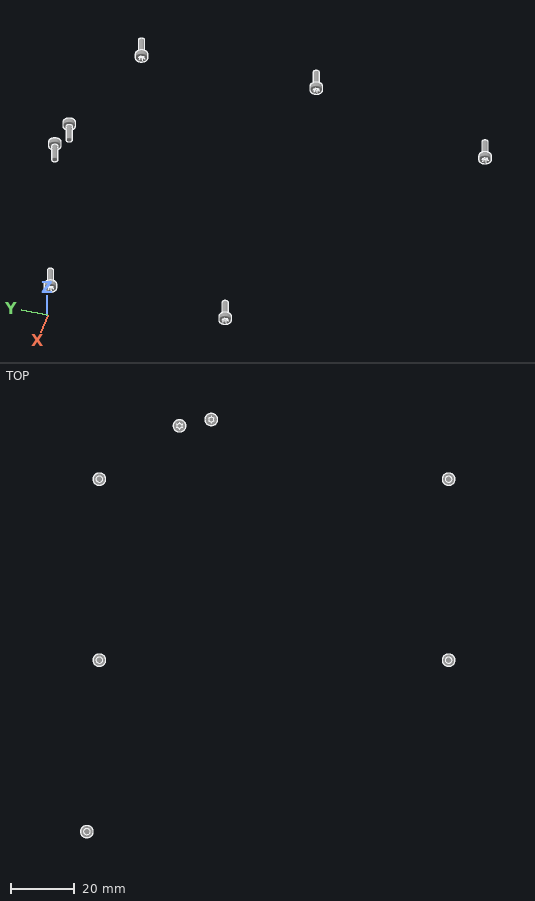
import cadquery as cq
import math

SHANK_DIAMETER = 2.0
SHANK_LENGTH = 6.0
HEAD_DIAMETER = 4.0
HEAD_HEIGHT = 2.0

EDGE_FILLET = 0.25

SOCKET_ACROSS_FLATS = 1.5
SOCKET_DEPTH = 1.0
SOCKET_TURN = 90.0
SOCKET_ACROSS_CORNERS = SOCKET_ACROSS_FLATS / math.cos(math.radians(30))

FRAME_LENGTH = 110.0
FRAME_WIDTH = 57.0
FRAME_SHOULDER_Z = 0.0

FRONT_SCREW_X = -3.93
FRONT_SCREW_Y = -54.0
FRONT_SHOULDER_Z = -20.36

REAR_LEFT_X = 25.25
REAR_LEFT_Y = 73.78
REAR_SPACING_X = 10.0
REAR_STAGGER_Y = 2.0
REAR_SHOULDER_Z = -12.7


def make_screw():
    """Screw along Z with its head on top and the shoulder under the head at z = 0."""
    shank = (
        cq.Workplane("XY")
        .circle(SHANK_DIAMETER / 2)
        .extrude(-SHANK_LENGTH)
        .faces("<Z")
        .fillet(EDGE_FILLET)
    )
    socket = (
        cq.Workplane("XY")
        .workplane(offset=HEAD_HEIGHT)
        .transformed(rotate=(0, 0, SOCKET_TURN))
        .polygon(6, SOCKET_ACROSS_CORNERS)
        .extrude(-SOCKET_DEPTH)
    )
    head = (
        cq.Workplane("XY")
        .circle(HEAD_DIAMETER / 2)
        .extrude(HEAD_HEIGHT)
        .cut(socket)
        .faces("<Z or >Z")
        .edges()
        .fillet(EDGE_FILLET)
    )
    return shank.union(head)



head_up_screw = make_screw()
head_down_screw = head_up_screw.rotate((0, 0, 0), (1, 0, 0), 180)

head_down_places = [(FRONT_SCREW_X, FRONT_SCREW_Y, FRONT_SHOULDER_Z)]
for x in (0, FRAME_LENGTH):
    for y in (0, FRAME_WIDTH):
        head_down_places.append((x, y, FRAME_SHOULDER_Z))

head_up_places = [
    (REAR_LEFT_X, REAR_LEFT_Y, REAR_SHOULDER_Z),
    (REAR_LEFT_X + REAR_SPACING_X, REAR_LEFT_Y + REAR_STAGGER_Y, REAR_SHOULDER_Z),
]

screws = []
for place in head_down_places:
    screws.append(head_down_screw.translate(place).val())
for place in head_up_places:
    screws.append(head_up_screw.translate(place).val())

result = cq.Compound.makeCompound(screws)